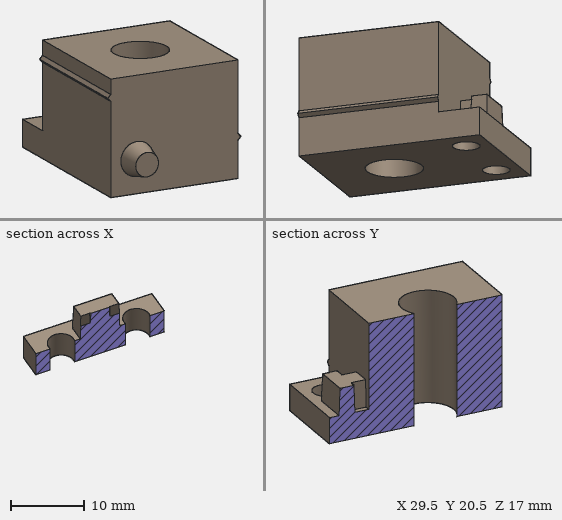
import cadquery as cq

width = 19.6
flange_length = 6.0
flange_height = 4.0
block_length = 20.5
block_height = 17.0
total_length = flange_length + block_length

bore_diameter = 8.0
screw_hole_diameter = 3.8
screw_hole_x = 3.5
screw_hole_y = 5.75

key_height = 4.1
key_draft_angle = 2.0
key_head_start_x = 1.45
key_head_length = 2.5
key_head_width = 6.1
key_stem_width = 3.1
key_overlap = 1.0

ridge_projection = 0.45
ridge_half_height = 0.5
front_ridge_z = 14.3
back_ridge_z = 6.0

stud_length = 3.0
stud_base_diameter = 5.0
stud_tip_diameter = 3.5
stud_y = -screw_hole_y
stud_z = 5.0


def make_body():
    """L-shaped side profile, extruded over the full width."""
    profile = (
        cq.Workplane("XZ")
        .moveTo(0, 0)
        .lineTo(total_length, 0)
        .lineTo(total_length, block_height)
        .lineTo(flange_length, block_height)
        .lineTo(flange_length, flange_height)
        .lineTo(0, flange_height)
        .close()
    )
    return profile.extrude(width / 2, both=True)


def make_key():
    """T-shaped key, narrowing upwards, with its stem running into the block."""
    head_end_x = key_head_start_x + key_head_length
    stem_end_x = flange_length + key_overlap
    head_y = key_head_width / 2
    stem_y = key_stem_width / 2
    outline = [
        (key_head_start_x, -head_y),
        (head_end_x, -head_y),
        (head_end_x, -stem_y),
        (stem_end_x, -stem_y),
        (stem_end_x, stem_y),
        (head_end_x, stem_y),
        (head_end_x, head_y),
        (key_head_start_x, head_y),
    ]
    plane = cq.Workplane("XY").workplane(offset=flange_height)
    return plane.polyline(outline).close().extrude(key_height, taper=key_draft_angle)


def make_ridge(side, center_z):
    """V-shaped ridge along the block; side is -1 for the -Y face, +1 for the +Y face."""
    face_y = side * width / 2
    outline = [
        (face_y, center_z - ridge_half_height),
        (face_y + side * ridge_projection, center_z),
        (face_y, center_z + ridge_half_height),
    ]
    plane = cq.Workplane("YZ").workplane(offset=flange_length)
    return plane.polyline(outline).close().extrude(block_length)


def make_stud():
    """Truncated cone tapering away from the +X end of the block."""
    cone = cq.Solid.makeCone(
        stud_base_diameter / 2,
        stud_tip_diameter / 2,
        stud_length,
        pnt=cq.Vector(total_length, stud_y, stud_z),
        dir=cq.Vector(1, 0, 0),
    )
    return cq.Workplane(obj=cone)


def make_hole(x, y, diameter):
    """Cutter for a hole through the full height."""
    return cq.Workplane("XY").center(x, y).circle(diameter / 2).extrude(block_height)


result = (
    make_body()
    .union(make_key())
    .union(make_ridge(-1, front_ridge_z))
    .union(make_ridge(1, back_ridge_z))
    .union(make_stud())
    .cut(make_hole(flange_length + block_length / 2, 0, bore_diameter))
)
for side in (-1, 1):
    result = result.cut(make_hole(screw_hole_x, side * screw_hole_y, screw_hole_diameter))